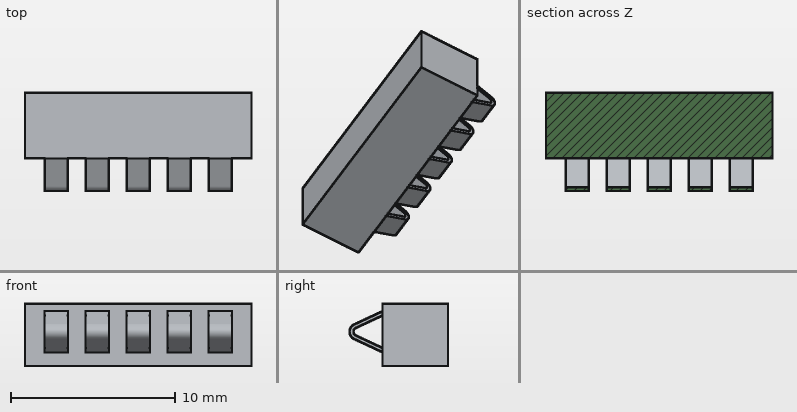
import cadquery as cq
import math

body_length = 13.8
body_depth = 4.0
body_height = 3.8

contact_count = 5
contact_pitch = 2.5
contact_width = 1.41
contact_reach = 2.0
contact_rise = 0.2
strip_thickness = 0.25
bend_radius = 0.5
leg_angle = math.radians(25)
root_depth = 0.28

face_y = -body_depth / 2
bend_centre_y = face_y - contact_reach + bend_radius


def wedge(radius):
    """Return a round-nosed wedge in the YZ plane, one contact wide."""
    nose_y = bend_centre_y - radius
    tangent_y = bend_centre_y - radius * math.sin(leg_angle)
    tangent_z = radius * math.cos(leg_angle)
    root_y = face_y + root_depth
    root_z = tangent_z + (root_y - tangent_y) * math.tan(leg_angle)
    return (
        cq.Workplane("YZ")
        .moveTo(root_y, root_z)
        .lineTo(tangent_y, tangent_z)
        .threePointArc((nose_y, 0), (tangent_y, -tangent_z))
        .lineTo(root_y, -root_z)
        .close()
        .extrude(contact_width / 2, both=True)
    )


body = cq.Workplane("XY").box(body_length, body_depth, body_height)

contact = wedge(bend_radius).cut(wedge(bend_radius - strip_thickness))

result = body
for index in range(contact_count):
    contact_x = (index - (contact_count - 1) / 2) * contact_pitch
    result = result.union(contact.translate((contact_x, 0, contact_rise)))